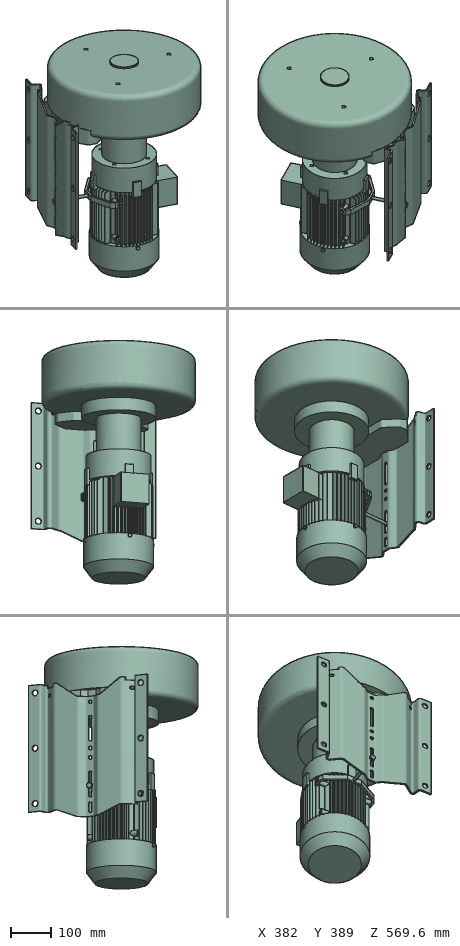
import cadquery as cq
import math


drum_radius = 191.0
drum_bottom = 440.0
drum_top = 565.0
drum_edge_radius = 14.5
cap_radius = 36.0
cap_top = 569.6
cap_chamfer = 1.0
hub_radius = 92.4
hub_bottom = 408.0
tube_radius = 56.0
cover_hole_circle = 120.0
cover_hole_diameter = 10.0
cover_hole_depth = 10.0

flange_radius = 80.7
flange_top = 311.0
flange_bottom = 242.8
flange_hole_offset = 45.0
flange_hole_diameter = 9.0
flange_hole_depth = 10.0
core_radius = 73.0
fin_tip_radius = 85.0
fin_top_chamfer = 8.0
fin_thickness = 1.4
fin_pitch = 9.3
fins_per_half_side = 5
tab_width = 21.0
tab_reach = 86.0
tab_bottom = 230.0
tab_top = 272.0
cowl_radius = 87.0
cowl_top = 95.6
cone_top = 28.0
cone_foot_radius = 66.0
cowl_screw_radius = 4.7
cowl_screw_reach = 91.0
cowl_screw_height = 89.5
terminal_half_width = 37.5
terminal_reach = 128.5
terminal_bottom = 164.0
terminal_top = 239.0
terminal_corner = 1.5
foot_radius = 8.0
foot_hole_diameter = 8.0
foot_hole_depth = 8.0
lower_foot_face = 67.5
foot_y = -46.0
clamp_height = 213.6
lower_foot_height = 113.6

clamp_thickness = 6.0
clamp_width = 15.0
lug_back = -38.4
lug_front = -56.0
lug_outer_x = 79.5
bend_x = 73.5
bend_y = -68.0
clamp_front = -98.0
clamp_front_half_width = 20.0

plate_width = 326.0
sheet = 4.0
plate_front = -198.0
plate_back = -173.0
plate_top = 480.0
plate_bottom = 158.0
plate_mid_y = -194.4
centre_crest_back = -180.0
shoulder_half_width = 87.5
centre_half_width = 31.0
centre_top = 441.4
centre_bottom = 135.7
flange_hole_x = 145.0
mount_hole_diameter = 15.0
mount_hole_pitch = 140.8
mount_hole_rows = 3
mount_hole_margin = 20.0
crest_hole_x = 113.0
crest_hole_z = 453.5
crest_notch_inner = 99.0
crest_notch_outer = 120.0
crest_notch_depth = 7.4
slot_width = 9.0
centre_hole_heights = (427.0, 309.6, 285.4)
centre_slots = ((327.2, 392.4), (184.8, 250.8), (145.4, 172.6))

bracket_bottom = 417.0
bracket_top = 459.6
bracket_front = -183.2
bracket_front_half_width = 80.0
bracket_half_width = 118.5
bracket_side_back = -122.0
bracket_back = -89.5
bracket_corner_radius = 8.0
groove_floor_half_width = 11.0
groove_mouth_half_width = 27.0
groove_depth = 10.0
seat_clearance = 15.0

bolt_radius = 4.0
bolt_head_radius = 7.0
bolt_head_height = 6.0


def cylinder(radius, bottom, top):
    return cq.Workplane("XY").workplane(offset=bottom).circle(radius).extrude(top - bottom)


def block(x_range, y_range, z_range):
    lengths = [high - low for low, high in (x_range, y_range, z_range)]
    corner = (x_range[0], y_range[0], z_range[0])
    return cq.Workplane("XY").box(*lengths, centered=False).translate(corner)


def cylinder_along_y(radius, x, z, y_start, y_end):
    return cq.Workplane("XZ", origin=(x, y_start, z)).circle(radius).extrude(y_start - y_end)


def cylinder_along_x(radius, y, z, x_start, x_end):
    return cq.Workplane("YZ", origin=(x_start, y, z)).circle(radius).extrude(x_end - x_start)


def mirrored(points):
    """Close a right-hand outline, running front to back, with its reflection in X."""
    return points + [(-x, y) for x, y in reversed(points)]


def make_bracket():
    """Block under the drum edge, with a groove behind the plate's centre crest."""
    side_front = bracket_front + bracket_half_width - bracket_front_half_width
    back_half_width = bracket_half_width - (bracket_back - bracket_side_back)
    outline = mirrored([
        (bracket_front_half_width, bracket_front),
        (bracket_half_width, side_front),
        (bracket_half_width, bracket_side_back),
        (back_half_width, bracket_back),
    ])
    height = bracket_top - bracket_bottom
    body = cq.Workplane("XY").workplane(offset=bracket_bottom).polyline(outline).close().extrude(height)
    body = body.edges("|Z").fillet(bracket_corner_radius)
    groove = (
        cq.Workplane("XY")
        .workplane(offset=bracket_bottom)
        .polyline(mirrored([
            (groove_mouth_half_width, bracket_front),
            (groove_floor_half_width, bracket_front + groove_depth),
        ]))
        .close()
        .extrude(height)
    )
    return body.cut(groove).cut(cylinder(hub_radius, bracket_bottom, bracket_top))


def bracket_seat():
    """Space taken from the drum edge, open to the outside of the bracket."""
    reach = bracket_half_width + seat_clearance
    front = bracket_front - seat_clearance
    corner = bracket_front_half_width + seat_clearance
    outline = mirrored([
        (corner, front),
        (reach, front + reach - corner),
        (bracket_half_width, bracket_side_back),
        (bracket_half_width + bracket_side_back - bracket_back, bracket_back),
    ])
    height = bracket_top - bracket_bottom
    seat = cq.Workplane("XY").workplane(offset=bracket_bottom).polyline(outline).close().extrude(height)
    return seat.cut(cylinder(hub_radius, bracket_bottom, bracket_top))


def make_drum():
    casing = cylinder(drum_radius, drum_bottom, drum_top).edges().fillet(drum_edge_radius)
    casing = casing.cut(bracket_seat())
    cap = cylinder(cap_radius, drum_top, cap_top).faces(">Z").edges().chamfer(cap_chamfer)
    hub = cylinder(hub_radius, hub_bottom, bracket_top)
    tube = cylinder(tube_radius, flange_top, hub_bottom)
    cover_holes = (
        cq.Workplane("XY")
        .workplane(offset=drum_top - cover_hole_depth)
        .polarArray(cover_hole_circle, 90, 360, 3)
        .circle(cover_hole_diameter / 2)
        .extrude(cover_hole_depth)
    )
    return casing.union(hub).union(tube).union(cap).cut(cover_holes)


def motor_fins():
    """Flat cooling fins on all four sides, trimmed to a round envelope."""
    envelope = cylinder(fin_tip_radius, cowl_top, flange_bottom).faces(">Z").edges().chamfer(fin_top_chamfer)
    bars = cq.Workplane("XY")
    for index in range(-fins_per_half_side, fins_per_half_side + 1):
        place = index * fin_pitch
        thickness = (place - fin_thickness / 2, place + fin_thickness / 2)
        length = (-fin_tip_radius, fin_tip_radius)
        height = (cowl_top, flange_bottom)
        bars = bars.add(block(thickness, length, height)).add(block(length, thickness, height))
    return bars.combine().intersect(envelope)


def terminal_box():
    box = block(
        (-terminal_half_width, terminal_half_width),
        (0, terminal_reach),
        (terminal_bottom, terminal_top),
    )
    return box.faces(">Y").edges("|Z").chamfer(terminal_corner)


def fan_cowl():
    return (
        cq.Workplane("XZ")
        .polyline([
            (0, 0),
            (cone_foot_radius, 0),
            (cowl_radius, cone_top),
            (cowl_radius, cowl_top),
            (0, cowl_top),
        ])
        .close()
        .revolve(360, (0, 0, 0), (0, 1, 0))
    )


def make_motor():
    body = cylinder(core_radius, cowl_top, flange_bottom)
    body = body.union(cylinder(flange_radius, flange_bottom, flange_top))
    body = body.union(motor_fins()).union(terminal_box()).union(fan_cowl())

    tab = block((core_radius, tab_reach), (-tab_width / 2, tab_width / 2), (tab_bottom, tab_top))
    for angle in (0, 90, 180, 270):
        body = body.union(tab.rotate((0, 0, 0), (0, 0, 1), angle))

    screw = cylinder_along_x(cowl_screw_radius, 0, cowl_screw_height, core_radius, cowl_screw_reach)
    for angle in (0, 90, 180):
        body = body.union(screw.rotate((0, 0, 0), (0, 0, 1), angle))

    upper_foot_face = lug_outer_x - clamp_thickness
    for side in (-1, 1):
        for height, reach in ((clamp_height, upper_foot_face), (lower_foot_height, lower_foot_face)):
            face = side * reach
            hole_end = face - side * foot_hole_depth
            fin_trim = block(
                sorted((face, side * fin_tip_radius)),
                (foot_y - clamp_width / 2, foot_y + clamp_width / 2),
                (height - clamp_width / 2, height + clamp_width / 2),
            )
            body = body.cut(fin_trim).union(cylinder_along_x(foot_radius, foot_y, height, 0, face))
            body = body.cut(cylinder_along_x(foot_hole_diameter / 2, foot_y, height, hole_end, face))

    flange_holes = (
        cq.Workplane("XY")
        .workplane(offset=flange_top - flange_hole_depth)
        .rect(2 * flange_hole_offset, 2 * flange_hole_offset, forConstruction=True)
        .vertices()
        .circle(flange_hole_diameter / 2)
        .extrude(flange_hole_depth)
    )
    return body.cut(flange_holes)


def make_clamp():
    """Strap from one motor side, across the front, to the other side."""
    outline = mirrored([
        (clamp_front_half_width, clamp_front),
        (bend_x, bend_y),
        (lug_outer_x, lug_front),
        (lug_outer_x, 0),
    ])
    low_face = cq.Workplane("XY").workplane(offset=clamp_height - clamp_width / 2)
    solid = low_face.polyline(outline).close().extrude(clamp_width)
    inside = low_face.polyline(outline).close().offset2D(-clamp_thickness).extrude(clamp_width)
    height = (clamp_height - clamp_width / 2, clamp_height + clamp_width / 2)
    behind_lugs = block((-lug_outer_x, lug_outer_x), (lug_back, 0), height)
    strap = solid.cut(inside).cut(behind_lugs)
    lug_holes = cylinder_along_x(foot_hole_diameter / 2, foot_y, clamp_height, -lug_outer_x, lug_outer_x)
    bolt_hole = cylinder_along_y(bolt_radius, 0, clamp_height, 0, clamp_front)
    return strap.cut(lug_holes).cut(bolt_hole)


def plate_section():
    """Bent sheet section: (x, y, bend radius) of the sheet's middle line, left half then mirrored."""
    half_sheet = sheet / 2
    flange_y = plate_front + half_sheet
    crest_y = plate_back - half_sheet
    centre_y = centre_crest_back - half_sheet
    left_bends = [
        (-130.0, flange_y, 5.0),
        (-125.0, crest_y, 5.0),
        (-117.0, crest_y, 5.0),
        (-92.0, plate_mid_y, 15.0),
        (-27.5, plate_mid_y, 10.0),
        (-11.5, centre_y, 10.0),
    ]
    bends = left_bends + [(-x, y, radius) for x, y, radius in reversed(left_bends)]
    end_x = plate_width / 2 + sheet
    corners = [(-end_x, flange_y)] + [(x, y) for x, y, _ in bends] + [(end_x, flange_y)]

    path = cq.Workplane("XY").moveTo(*corners[0])
    for before, (x, y, radius), after in zip(corners, bends, corners[2:]):
        corner = cq.Vector(x, y)
        to_before = (cq.Vector(*before) - corner).normalized()
        to_after = (cq.Vector(*after) - corner).normalized()
        half_angle = to_before.getAngle(to_after) / 2
        start = corner + to_before * (radius / math.tan(half_angle))
        end = corner + to_after * (radius / math.tan(half_angle))
        bisector = (to_before + to_after).normalized()
        middle = corner + bisector * (radius / math.sin(half_angle) - radius)
        path = path.lineTo(start.x, start.y).threePointArc((middle.x, middle.y), (end.x, end.y))
    path = path.lineTo(*corners[-1])
    return path.wire().offset2D(half_sheet)


def make_plate():
    height = plate_top - centre_bottom
    sheet_body = plate_section().extrude(height).translate((0, 0, centre_bottom))

    depth = plate_back - plate_front
    outline = mirrored([
        (centre_half_width, centre_bottom),
        (shoulder_half_width, plate_bottom),
        (plate_width / 2, plate_bottom),
        (plate_width / 2, plate_top),
        (shoulder_half_width, plate_top),
        (centre_half_width, centre_top),
    ])
    trim = cq.Workplane("XZ", origin=(0, plate_back, 0)).polyline(outline).close().extrude(depth)
    plate = sheet_body.intersect(trim)

    for side in (-1, 1):
        for row in range(mount_hole_rows):
            z = plate_top - mount_hole_margin - row * mount_hole_pitch
            x = side * flange_hole_x
            plate = plate.cut(cylinder_along_y(mount_hole_diameter / 2, x, z, plate_back, plate_front))
        crest_x = side * crest_hole_x
        plate = plate.cut(cylinder_along_y(slot_width / 2, crest_x, crest_hole_z, plate_back, plate_front))
        notch_x = sorted((side * crest_notch_inner, side * crest_notch_outer))
        notch_z = (plate_top - crest_notch_depth, plate_top)
        plate = plate.cut(block(notch_x, (plate_front, plate_back), notch_z))

    for z in centre_hole_heights:
        plate = plate.cut(cylinder_along_y(slot_width / 2, 0, z, plate_back, plate_front))
    for low, high in centre_slots:
        slot = (
            cq.Workplane("XZ", origin=(0, plate_back, (low + high) / 2))
            .slot2D(high - low, slot_width, 90)
            .extrude(depth)
        )
        plate = plate.cut(slot)
    return plate


def make_bolt():
    head_seat = centre_crest_back - sheet
    shank = cylinder_along_y(bolt_radius, 0, clamp_height, clamp_front + clamp_thickness, head_seat)
    head_end = head_seat - bolt_head_height
    return shank.union(cylinder_along_y(bolt_head_radius, 0, clamp_height, head_seat, head_end))


drum = make_drum()
motor = make_motor()
bracket = make_bracket()
clamp = make_clamp()
plate = make_plate()
bolt = make_bolt()

result = cq.Compound.makeCompound([
    drum.val(),
    motor.val(),
    bracket.val(),
    clamp.val(),
    plate.val(),
    bolt.val(),
])